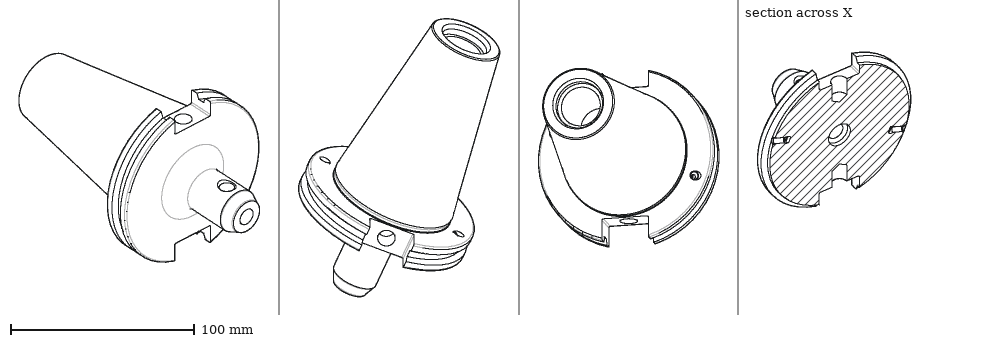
import cadquery as cq
import math

total_length = 164.6

taper_ratio = 7 / 24
gauge_x = 101.4
gauge_diameter = 69.8
small_end_chamfer = 0.7

neck_diameter = 69.3
neck_start_x = 102.7
neck_end_x = 104.4

flange_back_x = 104.9
flange_front_x = 120.5
flange_diameter = 98.3
flange_edge_round = 1.0
groove_center_x = 112.8
groove_top_width = 6.9
groove_floor_width = 4.0
groove_depth = 3.3

slot_width = 26.2
slot_corner_radius = 0.8
upper_slot_floor_z = 38.0
lower_slot_floor_z = -35.4
slot_hole_diameter = 9.5
slot_hole_depth = 11.5
drill_point_angle = 118.0

shank_diameter = 25.3
shank_fillet_radius = 10.0
nose_break_x = 157.2
nose_start_x = 157.7
nose_start_diameter = 25.0
nose_end_x = 163.8
nose_end_diameter = 19.8
tip_diameter = 19.3

mouth_diameter = 28.6
mouth_chamfer_depth = 2.5
counterbore_diameter = 26.2
counterbore_end_x = 6.0
thread_diameter = 21.9
thread_end_x = 49.4
pilot_diameter = 14.0
pilot_end_x = 115.2
tool_bore_diameter = 9.5

screw_x = 148.5
screw_diameter = 8.4
screw_countersink_diameter = 11.2

coolant_angle = 20.0
coolant_entry_radius = 42.1
coolant_tilt = 36.0
coolant_entry_diameter = 5.0
coolant_entry_depth = 2.3
coolant_diameter = 4.3
coolant_depth = 10.7
groove_hole_diameter = 4.1
groove_hole_step_depth = 1.0
groove_hole_inner_diameter = 3.3
groove_hole_depth = 9.9


def taper_radius(x):
    return (gauge_diameter - (gauge_x - x) * taper_ratio) / 2


def drill_point_length(large_diameter, small_diameter=0.0):
    half_angle = math.radians(drill_point_angle / 2)
    return (large_diameter - small_diameter) / 2 / math.tan(half_angle)


def cylinder(start, direction, diameter, length):
    solid = cq.Solid.makeCylinder(diameter / 2, length, cq.Vector(*start), cq.Vector(*direction))
    return cq.Workplane(solid)


def revolve_about_x(profile):
    return profile.close().revolve(360, (0, 0, 0), (1, 0, 0))


def make_body():
    flange_radius = flange_diameter / 2
    flange_edge_radius = flange_radius - flange_edge_round
    groove_floor_radius = flange_radius - groove_depth
    shank_radius = shank_diameter / 2
    fillet_end_x = flange_front_x + shank_fillet_radius

    profile = (
        cq.Workplane("XY")
        .lineTo(0, taper_radius(0) - small_end_chamfer)
        .lineTo(small_end_chamfer, taper_radius(small_end_chamfer))
        .lineTo(gauge_x, gauge_diameter / 2)
        .lineTo(neck_start_x, neck_diameter / 2)
        .lineTo(neck_end_x, neck_diameter / 2)
        .lineTo(flange_back_x, gauge_diameter / 2)
        .lineTo(flange_back_x, flange_edge_radius)
        .radiusArc((flange_back_x + flange_edge_round, flange_radius), flange_edge_round)
        .lineTo(groove_center_x - groove_top_width / 2, flange_radius)
        .lineTo(groove_center_x - groove_floor_width / 2, groove_floor_radius)
        .lineTo(groove_center_x + groove_floor_width / 2, groove_floor_radius)
        .lineTo(groove_center_x + groove_top_width / 2, flange_radius)
        .lineTo(flange_front_x - flange_edge_round, flange_radius)
        .radiusArc((flange_front_x, flange_edge_radius), flange_edge_round)
        .lineTo(flange_front_x, shank_radius + shank_fillet_radius)
        .radiusArc((fillet_end_x, shank_radius), -shank_fillet_radius)
        .lineTo(nose_break_x, shank_radius)
        .lineTo(nose_start_x, nose_start_diameter / 2)
        .lineTo(nose_end_x, nose_end_diameter / 2)
        .lineTo(total_length, tip_diameter / 2)
        .lineTo(total_length, 0)
    )
    return revolve_about_x(profile)


def make_bore():
    thread_cone_end_x = thread_end_x + drill_point_length(thread_diameter, pilot_diameter)
    pilot_cone_end_x = pilot_end_x + drill_point_length(pilot_diameter, tool_bore_diameter)
    profile = (
        cq.Workplane("XY")
        .lineTo(0, mouth_diameter / 2)
        .lineTo(mouth_chamfer_depth, counterbore_diameter / 2)
        .lineTo(counterbore_end_x, counterbore_diameter / 2)
        .lineTo(counterbore_end_x, thread_diameter / 2)
        .lineTo(thread_end_x, thread_diameter / 2)
        .lineTo(thread_cone_end_x, pilot_diameter / 2)
        .lineTo(pilot_end_x, pilot_diameter / 2)
        .lineTo(pilot_cone_end_x, tool_bore_diameter / 2)
        .lineTo(total_length, tool_bore_diameter / 2)
        .lineTo(total_length, 0)
    )
    return revolve_about_x(profile)


def make_drive_slot(floor_z, side):
    flange_width = flange_front_x - flange_back_x
    slot_height = flange_diameter / 2
    slot_center = ((flange_back_x + flange_front_x) / 2, 0, floor_z + side * slot_height / 2)
    slot = cq.Workplane("XY").box(flange_width, slot_width, slot_height)
    slot = slot.edges("|X").fillet(slot_corner_radius).translate(slot_center)
    into_part = (0, 0, -side)
    hole = cylinder((groove_center_x, 0, floor_z), into_part, slot_hole_diameter, slot_hole_depth)
    point = cq.Solid.makeCone(
        slot_hole_diameter / 2,
        0,
        drill_point_length(slot_hole_diameter),
        cq.Vector(groove_center_x, 0, floor_z - side * slot_hole_depth),
        cq.Vector(*into_part),
    )
    return slot.union(hole).union(cq.Workplane(point))


def make_screw_hole():
    top_z = shank_diameter / 2
    hole = cylinder((screw_x, 0, 0), (0, 0, 1), screw_diameter, top_z)
    countersink = cq.Solid.makeCone(
        screw_countersink_diameter / 2,
        screw_diameter / 2,
        (screw_countersink_diameter - screw_diameter) / 2,
        cq.Vector(screw_x, 0, top_z),
        cq.Vector(0, 0, -1),
    )
    return hole.union(cq.Workplane(countersink))


def make_coolant_passage(turn):
    tilt = math.radians(coolant_tilt)
    inclined = (math.cos(tilt), -math.sin(tilt), 0)
    lead = coolant_entry_diameter
    start = (flange_back_x - lead * inclined[0], coolant_entry_radius - lead * inclined[1], 0)
    groove_start = (groove_center_x, flange_diameter / 2, 0)
    inward = (0, -1, 0)

    passage = (
        cylinder(start, inclined, coolant_entry_diameter, lead + coolant_entry_depth)
        .union(cylinder(start, inclined, coolant_diameter, lead + coolant_depth))
        .union(cylinder(groove_start, inward, groove_hole_diameter, groove_depth + groove_hole_step_depth))
        .union(cylinder(groove_start, inward, groove_hole_inner_diameter, groove_depth + groove_hole_depth))
    )
    return passage.rotate((0, 0, 0), (1, 0, 0), turn)


result = make_body().cut(make_bore())
result = result.cut(make_drive_slot(upper_slot_floor_z, 1))
result = result.cut(make_drive_slot(lower_slot_floor_z, -1))
result = result.cut(make_screw_hole())
for turn in (coolant_angle, coolant_angle + 180):
    result = result.cut(make_coolant_passage(turn))
result = cq.Workplane(result.solids().val())